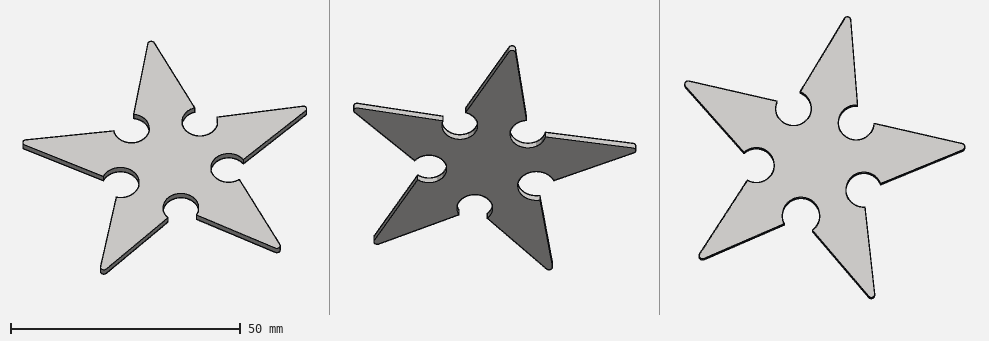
import cadquery as cq
import math

width = 62.5
thickness = 1.6
tip_radius = 0.75
overlap = 0.6

top_tip = (0.0, 34.45)
shoulder_height = 11.0
side_point_angle = math.radians(35.8)
side_tip_x = width / 2 - tip_radius + tip_radius / math.tan(side_point_angle / 2)
side_tip = (side_tip_x, shoulder_height)
lower_tip = (20.4, -28.1)
upper_valley = (7.45, shoulder_height)
side_valley_x = 11.95
side_arm_drop = (side_tip_x - side_valley_x) * math.tan(side_point_angle)
side_valley = (side_valley_x, shoulder_height - side_arm_drop)
bottom_valley = (0.0, -12.75)

side_notch_radius = 3.9
bottom_notch_radius = 4.05
upper_notch_center = (7.0, 10.3)
lower_notch_center = (12.0, -3.8)
bottom_notch_center = (0.0, -12.5)


def mirrored(point):
    x, y = point
    return (-x, y)


def rounded_star():
    right_side = [upper_valley, side_tip, side_valley, lower_tip]
    left_side = [mirrored(point) for point in reversed(right_side)]
    outline = [top_tip] + right_side + [bottom_valley] + left_side
    star = cq.Workplane("XY").polyline(outline).close().extrude(thickness)

    tips = [top_tip, side_tip, lower_tip, mirrored(side_tip), mirrored(lower_tip)]
    for x, y in tips:
        tip_edge = cq.selectors.NearestToPointSelector((x, y, thickness / 2))
        star = star.edges("|Z").edges(tip_edge).fillet(tip_radius)
    return star


def notch_cutter(centers, radius):
    return (
        cq.Workplane("XY")
        .workplane(offset=-overlap)
        .pushPoints(centers)
        .circle(radius)
        .extrude(thickness + 2 * overlap)
    )


side_notch_centers = [
    upper_notch_center,
    mirrored(upper_notch_center),
    lower_notch_center,
    mirrored(lower_notch_center),
]

result = (
    rounded_star()
    .cut(notch_cutter(side_notch_centers, side_notch_radius))
    .cut(notch_cutter([bottom_notch_center], bottom_notch_radius))
)